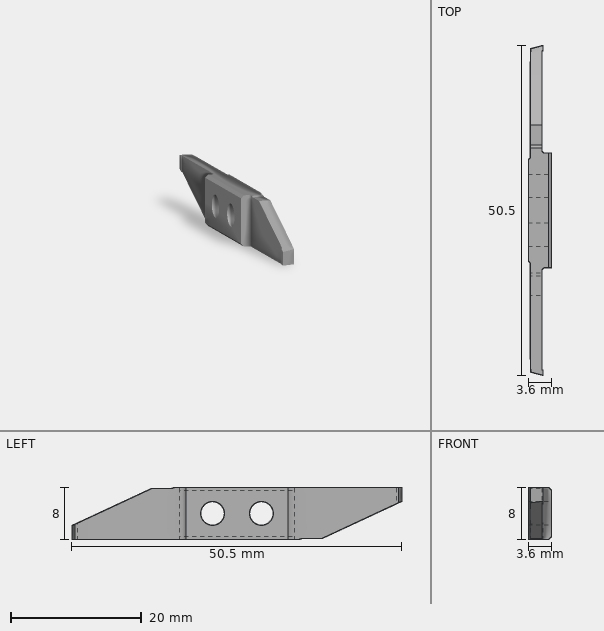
import cadquery as cq
import math

length = 50.5
height = 8.0
thickness = 3.6
half_length = length / 2
half_height = height / 2

arm_back = 0.3
arm_front = 2.1
tip_front = 2.25
tip_back_relief = 0.05
pad_half = 7.85
body_half = 8.8
corner_radius = 0.4
body_chamfer = 0.45

tip_land = 0.85
back_relief_start = 22.7
end_angle = math.radians(15)

edge_drop = 0.15
drop_start = 9.55
drop_end = 10.0
taper_start = 13.05
taper_angle = math.radians(25)

hole_diameter = 3.6
hole_spacing = 7.45


def concave_arc(sketch, center, start_angle, end_angle_deg):
    """Add a corner arc, given its centre and its two end angles in degrees."""
    def on_arc(degrees):
        angle = math.radians(degrees)
        return (
            center[0] + corner_radius * math.cos(angle),
            center[1] + corner_radius * math.sin(angle),
        )

    middle = on_arc((start_angle + end_angle_deg) / 2)
    return sketch.threePointArc(middle, on_arc(end_angle_deg))


def make_half_blank():
    """Extrude the +Y half of the thickness profile over the full height."""
    tip_back = arm_back + tip_back_relief
    tip_back_y = half_length - (tip_front - tip_back) * math.tan(end_angle)
    pad_arc_angle = math.degrees(math.acos((corner_radius - arm_back) / corner_radius))
    pad_arc_length = corner_radius * math.sin(math.radians(pad_arc_angle))
    pad_center = (arm_back - corner_radius, pad_half + pad_arc_length)
    body_center = (arm_front + corner_radius, body_half + corner_radius)

    profile = (
        cq.Workplane("XY")
        .workplane(offset=-half_height)
        .moveTo(0, 0)
        .lineTo(thickness, 0)
        .lineTo(thickness, body_half)
        .lineTo(body_center[0], body_half)
    )
    profile = concave_arc(profile, body_center, 270, 180)
    profile = (
        profile.lineTo(arm_front, half_length - tip_land)
        .lineTo(tip_front, half_length - tip_land)
        .lineTo(tip_front, half_length)
        .lineTo(tip_back, tip_back_y)
        .lineTo(arm_back, back_relief_start)
        .lineTo(arm_back, pad_center[1])
    )
    profile = concave_arc(profile, pad_center, 0, -pad_arc_angle)
    return profile.lineTo(0, 0).close().extrude(height)


def make_side_outline():
    """Extrude the side outline, which repeats after half a turn about X."""
    dropped_edge = half_height - edge_drop
    end_edge = dropped_edge - (half_length - taper_start) * math.tan(taper_angle)
    half_outline = [
        (half_length, -half_height),
        (half_length, end_edge),
        (taper_start, dropped_edge),
        (drop_end, dropped_edge),
        (drop_start, half_height),
    ]
    turned_outline = [(-y, -z) for y, z in half_outline]
    return cq.Workplane("YZ").polyline(half_outline + turned_outline).close().extrude(thickness)


half_blank = make_half_blank()
blank = half_blank.union(half_blank.mirror("XZ"))
blank = blank.faces(">X").edges("|Y").chamfer(body_chamfer)
blade = blank.intersect(make_side_outline())

holes = (
    cq.Workplane("YZ")
    .pushPoints([(-hole_spacing / 2, 0), (hole_spacing / 2, 0)])
    .circle(hole_diameter / 2)
    .extrude(thickness)
)
result = blade.cut(holes)